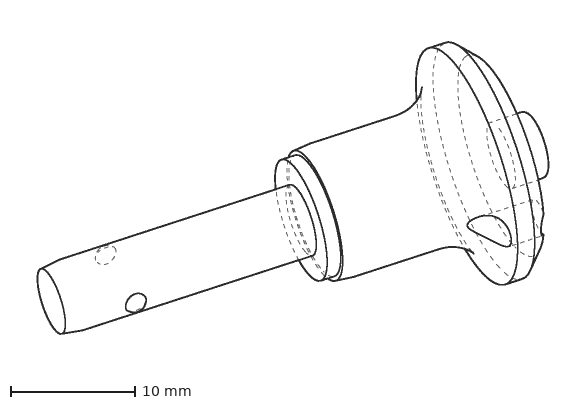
import cadquery as cq
import math


SHANK_RADIUS = 3.0
SHANK_LENGTH = 22.0
TIP_RADIUS = 2.75
TIP_LENGTH = 1.75

BALL_RADIUS = 1.0
BALL_REACH = 3.58
BALL_FROM_TIP = 6.1

COLLAR_RADIUS = 5.125
COLLAR_LENGTH = 1.2
GRIP_RADIUS = 5.65
GRIP_TAPER_RADIUS = 5.5
GRIP_TAPER_LENGTH = 1.55
HANDLE_LENGTH = 17.6
FLANGE_RADIUS = 10.0
FLANGE_THICKNESS = 3.0
FLANGE_CHAMFER = 1.5
FLARE_RADIUS = FLANGE_RADIUS - GRIP_RADIUS

BUTTON_RADIUS = 2.8
BUTTON_LENGTH = 3.1
BUTTON_FILLET = 0.4

LANYARD_HOLE_RADIUS = 1.5
LANYARD_HOLE_OFFSET = 7.5

TIP_Y = -SHANK_LENGTH
GRIP_START_Y = COLLAR_LENGTH
HANDLE_TOP_Y = HANDLE_LENGTH
FLANGE_BOTTOM_Y = HANDLE_TOP_Y - FLANGE_THICKNESS
FLARE_START_Y = FLANGE_BOTTOM_Y - FLARE_RADIUS


def revolve_about_pin_axis(profile):
    """Turn a closed XY profile about the Y axis."""
    return profile.close().revolve(360, (0, 0, 0), (0, 1, 0))


def make_shank():
    """Cylindrical shank with a slightly tapered tip."""
    profile = (
        cq.Workplane("XY")
        .moveTo(0, TIP_Y)
        .lineTo(TIP_RADIUS, TIP_Y)
        .lineTo(SHANK_RADIUS, TIP_Y + TIP_LENGTH)
        .lineTo(SHANK_RADIUS, GRIP_START_Y)
        .lineTo(0, GRIP_START_Y)
    )
    return revolve_about_pin_axis(profile)


def make_handle():
    """Collar, grip and concave flare opening into a chamfered flange."""
    flare_drop = FLARE_RADIUS * math.sqrt(0.5)
    flare_middle = (FLANGE_RADIUS - flare_drop, FLARE_START_Y + flare_drop)
    profile = (
        cq.Workplane("XY")
        .lineTo(COLLAR_RADIUS, 0)
        .lineTo(COLLAR_RADIUS, GRIP_START_Y)
        .lineTo(GRIP_TAPER_RADIUS, GRIP_START_Y)
        .lineTo(GRIP_RADIUS, GRIP_START_Y + GRIP_TAPER_LENGTH)
        .lineTo(GRIP_RADIUS, FLARE_START_Y)
        .threePointArc(flare_middle, (FLANGE_RADIUS, FLANGE_BOTTOM_Y))
        .lineTo(FLANGE_RADIUS, HANDLE_TOP_Y - FLANGE_CHAMFER)
        .lineTo(FLANGE_RADIUS - FLANGE_CHAMFER, HANDLE_TOP_Y)
        .lineTo(0, HANDLE_TOP_Y)
    )
    return revolve_about_pin_axis(profile)


def make_button():
    """Release button with a rounded outer rim, rooted in the flange."""
    button = (
        cq.Workplane("XZ", origin=(0, FLANGE_BOTTOM_Y, 0))
        .circle(BUTTON_RADIUS)
        .extrude(-(FLANGE_THICKNESS + BUTTON_LENGTH))
    )
    return button.faces(">Y").edges().fillet(BUTTON_FILLET)


def make_ball(side):
    """Locking ball partly sunk in the shank; side is -1 or 1 along X."""
    ball_x = side * (BALL_REACH - BALL_RADIUS)
    ball_y = TIP_Y + BALL_FROM_TIP
    return cq.Workplane("XY").sphere(BALL_RADIUS).translate((ball_x, ball_y, 0))


def make_lanyard_hole():
    """Cutter for the hole through the flange and flare, parallel to the pin axis."""
    return (
        cq.Workplane("XZ", origin=(LANYARD_HOLE_OFFSET, HANDLE_TOP_Y, 0))
        .circle(LANYARD_HOLE_RADIUS)
        .extrude(HANDLE_LENGTH)
    )


handle = make_handle().cut(make_lanyard_hole())
pin = handle.union(make_shank()).union(make_button())
for ball_side in (-1, 1):
    pin = pin.union(make_ball(ball_side))

result = pin